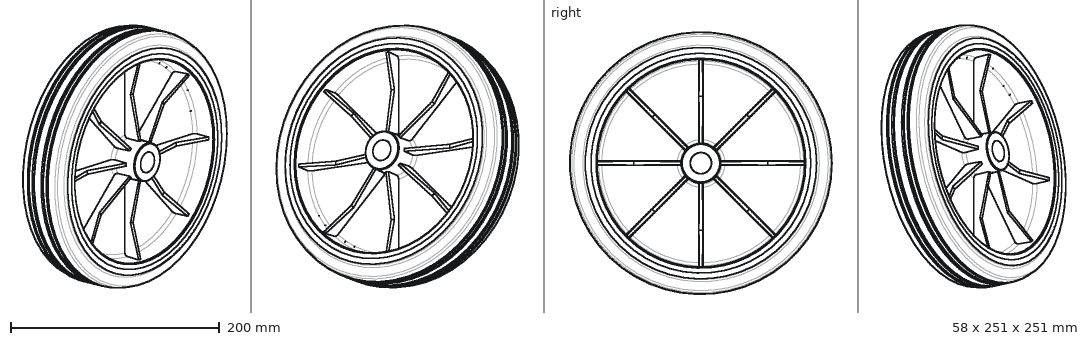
import cadquery as cq
import math


TIRE_R = 125.5
TIRE_BORE_R = 105.0
BEAD_HALF_W = 25.3
BEAD_R = 110.5
BEAD_STEP_HALF_W = 24.0
BEAD_STEP_R = 111.0
SIDEWALL_FOOT_HALF_W = 22.3
SIDEWALL_FOOT_R = 113.0
SIDEWALL_TOP_HALF_W = 21.8
SIDEWALL_TOP_R = 121.6
SHOULDER_HALF_W = 20.0
SHOULDER_R = 123.6
ARC_BULGE = 0.38
CROWN_HALF_W = 13.3

GROOVE_CENTERS = (5.8, 12.0)
GROOVE_W = 3.0
OUTER_GROOVE_W = 2.3
GROOVE_DEPTH = 0.8

HUB_HALF_W = 58.0 / 2
HUB_R = 18.8
HUB_CHAMFER = 0.8
BORE_R = 10.0
WEB_HALF_W = 1.88
ROOT_FILLET = 3.0
RING_INNER_R = 99.3
RING_LIP = 1.0
RING_ROOT_R = 98.0
HUB_ROOT_R = 19.8

RIB_COUNT = 8
RIB_END_HEIGHT = 19.3
RIB_WAIST_HEIGHT = 8.8
RIB_WAIST_R = 64.0
RIB_TOP_W = 2.8
RIB_ROOT_W = 4.5


def revolve_about_x(profile):
    """Turn a closed (x, radius) profile in the XY plane about the X axis."""
    return profile.close().revolve(360, (0, 0, 0), (1, 0, 0))


def make_groove(center, width):
    """V-shaped ring that cuts one tread groove."""
    overshoot = GROOVE_DEPTH
    half_w = width / 2
    half_w_above = half_w * (GROOVE_DEPTH + overshoot) / GROOVE_DEPTH
    return revolve_about_x(
        cq.Workplane("XY")
        .moveTo(center, TIRE_R - GROOVE_DEPTH)
        .lineTo(center + half_w_above, TIRE_R + overshoot)
        .lineTo(center - half_w_above, TIRE_R + overshoot)
    )


def make_tire():
    tire = revolve_about_x(
        cq.Workplane("XY")
        .moveTo(-BEAD_HALF_W, TIRE_BORE_R)
        .lineTo(BEAD_HALF_W, TIRE_BORE_R)
        .lineTo(BEAD_HALF_W, BEAD_R)
        .lineTo(BEAD_STEP_HALF_W, BEAD_STEP_R)
        .sagittaArc((SIDEWALL_FOOT_HALF_W, SIDEWALL_FOOT_R), ARC_BULGE)
        .lineTo(SIDEWALL_TOP_HALF_W, SIDEWALL_TOP_R)
        .sagittaArc((SHOULDER_HALF_W, SHOULDER_R), -ARC_BULGE)
        .lineTo(CROWN_HALF_W, TIRE_R)
        .lineTo(-CROWN_HALF_W, TIRE_R)
        .lineTo(-SHOULDER_HALF_W, SHOULDER_R)
        .sagittaArc((-SIDEWALL_TOP_HALF_W, SIDEWALL_TOP_R), -ARC_BULGE)
        .lineTo(-SIDEWALL_FOOT_HALF_W, SIDEWALL_FOOT_R)
        .sagittaArc((-BEAD_STEP_HALF_W, BEAD_STEP_R), ARC_BULGE)
        .lineTo(-BEAD_HALF_W, BEAD_R)
    )
    for center, width in zip(GROOVE_CENTERS, (GROOVE_W, OUTER_GROOVE_W)):
        for side in (-1, 1):
            tire = tire.cut(make_groove(side * center, width))
    return tire


def make_rim_half():
    """Half of the rim on the +X side, without ribs and axle bore."""
    fillet_mid = ROOT_FILLET * (1 - math.sqrt(0.5))
    fillet_x = WEB_HALF_W + ROOT_FILLET
    return revolve_about_x(
        cq.Workplane("XY")
        .moveTo(0, 0)
        .lineTo(HUB_HALF_W, 0)
        .lineTo(HUB_HALF_W, HUB_R - HUB_CHAMFER)
        .lineTo(HUB_HALF_W - HUB_CHAMFER, HUB_R)
        .lineTo(fillet_x, HUB_ROOT_R)
        .threePointArc(
            (WEB_HALF_W + fillet_mid, HUB_ROOT_R + fillet_mid),
            (WEB_HALF_W, HUB_ROOT_R + ROOT_FILLET),
        )
        .lineTo(WEB_HALF_W, RING_ROOT_R - ROOT_FILLET)
        .threePointArc(
            (WEB_HALF_W + fillet_mid, RING_ROOT_R - fillet_mid),
            (fillet_x, RING_ROOT_R),
        )
        .lineTo(BEAD_HALF_W - RING_LIP, RING_INNER_R)
        .lineTo(BEAD_HALF_W, RING_INNER_R + RING_LIP)
        .lineTo(BEAD_HALF_W, TIRE_BORE_R)
        .lineTo(0, TIRE_BORE_R)
    )


def make_rib():
    """One drafted rib on the +X side, pointing along +Z from hub to ring."""
    inner_r = HUB_R - HUB_CHAMFER
    outer_r = RING_INNER_R + RING_LIP
    side_shape = (
        cq.Workplane("XZ")
        .moveTo(0, inner_r)
        .lineTo(RIB_END_HEIGHT, inner_r)
        .lineTo(RIB_WAIST_HEIGHT, RIB_WAIST_R)
        .lineTo(RIB_END_HEIGHT, outer_r)
        .lineTo(0, outer_r)
        .close()
        .extrude(RIB_ROOT_W, both=True)
    )
    drafted_bar = (
        cq.Workplane("XY")
        .workplane(offset=inner_r)
        .moveTo(0, -RIB_ROOT_W / 2)
        .lineTo(RIB_END_HEIGHT, -RIB_TOP_W / 2)
        .lineTo(RIB_END_HEIGHT, RIB_TOP_W / 2)
        .lineTo(0, RIB_ROOT_W / 2)
        .close()
        .extrude(outer_r - inner_r)
    )
    return side_shape.intersect(drafted_bar)


def make_rim():
    rim_half = make_rim_half()
    rib = make_rib()
    for i in range(RIB_COUNT):
        angle = i * 360 / RIB_COUNT
        rim_half = rim_half.union(rib.rotate((0, 0, 0), (1, 0, 0), angle))
    rim = rim_half.union(rim_half.mirror("YZ"))
    axle_bore = cq.Workplane("YZ").circle(BORE_R).extrude(HUB_HALF_W, both=True)
    return rim.cut(axle_bore)


tire = make_tire()
rim = make_rim()
result = cq.Compound.makeCompound([tire.solids().val(), rim.solids().val()])